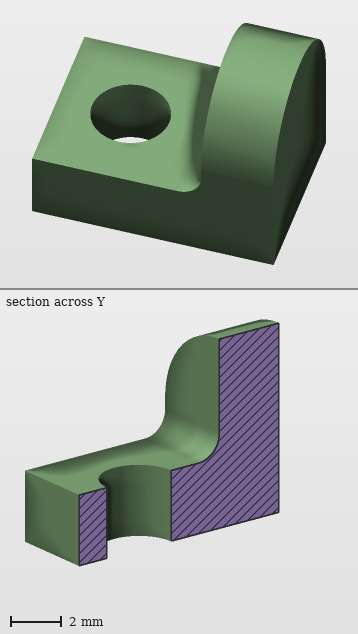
import cadquery as cq

length = 10
width = 7
height = 8

base_thickness = 3
lug_thickness = 3
lug_face_x = length - lug_thickness
lug_radius = width / 2
lug_center_z = height - lug_radius
corner_radius = 1

hole_diameter = 3.2
hole_x = 3


def make_base():
    return cq.Workplane("XY").box(length, width, base_thickness, centered=(False, True, False))


def make_lug():
    """Upright plate with a full-round top, extruded along X."""
    return (
        cq.Workplane("YZ", origin=(lug_face_x, 0, 0))
        .moveTo(-lug_radius, 0)
        .lineTo(lug_radius, 0)
        .lineTo(lug_radius, lug_center_z)
        .threePointArc((0, height), (-lug_radius, lug_center_z))
        .close()
        .extrude(lug_thickness)
    )


def make_corner_fillet():
    """Concave blend between the top of the base and the face of the lug."""
    blend = (
        cq.Workplane("XZ", origin=(0, width / 2, 0))
        .moveTo(lug_face_x - corner_radius, base_thickness)
        .lineTo(lug_face_x, base_thickness)
        .lineTo(lug_face_x, base_thickness + corner_radius)
        .radiusArc((lug_face_x - corner_radius, base_thickness), corner_radius)
        .close()
        .extrude(width)
    )
    return blend


def make_hole():
    return cq.Workplane("XY").center(hole_x, 0).circle(hole_diameter / 2).extrude(base_thickness)


result = make_base().union(make_lug()).union(make_corner_fillet()).cut(make_hole())